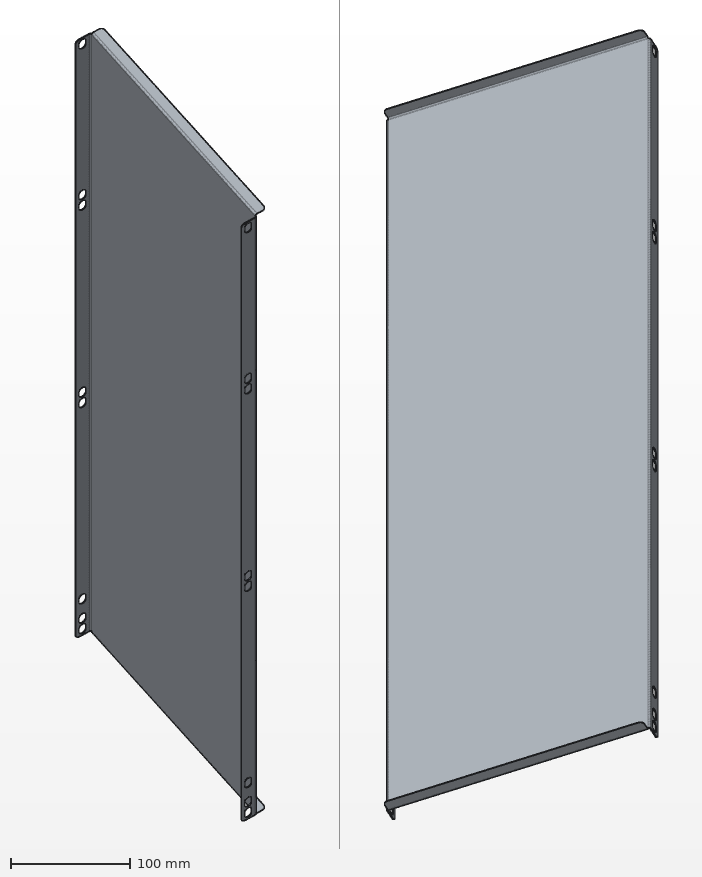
import cadquery as cq
import math

width = 244.0
depth = 26.8
height = 798.0

sheet = 1.0
bend_radius = 1.0
outer_radius = bend_radius + sheet

lip_reach = 10.5
flange_depth = depth - lip_reach
panel_back = depth / 2 - lip_reach
panel_front = panel_back - sheet
flange_edge = -depth / 2
flange_height = height - 2 * outer_radius
flange_corner_radius = 4.0
lip_setback = outer_radius
lip_corner_radius = 4.0
lip_width = width - 2 * lip_setback

slot_width = 7.0
slot_length = 12.0
slot_angle = 90.0
slot_y = flange_edge + 7.0
pair_pitch = 14.0
pair_heights = [181.5, -81.0, -381.5]
single_heights = [389.0, -349.0]


def make_channel():
    """Panel and both side flanges, bent from one sheet, with rounded free flange corners."""
    middle_y = (panel_back + flange_edge) / 2
    outer = (
        cq.Workplane("XY")
        .box(width, flange_depth, flange_height)
        .edges("|Z and >Y")
        .fillet(outer_radius)
        .edges("|X and <Y")
        .fillet(flange_corner_radius)
        .translate((0, middle_y, 0))
    )
    inner = (
        cq.Workplane("XY")
        .box(width - 2 * sheet, flange_depth, flange_height)
        .edges("|Z and >Y")
        .fillet(bend_radius)
        .translate((0, middle_y - sheet, 0))
    )
    return outer.cut(inner)


def make_lip(end):
    """Lip bent towards +Y at one end of the panel; end is 1 for the top and -1 for the bottom."""
    outer_z = end * height / 2
    inner_z = outer_z - end * sheet
    bend_y = panel_front + outer_radius
    bend_z = outer_z - end * outer_radius

    def bend_middle(radius):
        reach = radius * math.sqrt(0.5)
        return (bend_y - reach, bend_z + end * reach)

    profile = (
        cq.Workplane("YZ")
        .moveTo(panel_front, bend_z)
        .threePointArc(bend_middle(outer_radius), (bend_y, outer_z))
        .lineTo(depth / 2, outer_z)
        .lineTo(depth / 2, inner_z)
        .lineTo(bend_y, inner_z)
        .threePointArc(bend_middle(bend_radius), (panel_back, bend_z))
        .close()
    )
    lip = profile.extrude(lip_width / 2, both=True)
    return lip.edges("|Z and >Y").fillet(lip_corner_radius)


def cut_slots(body):
    """Cut the single slots and the slot pairs straight through both side flanges."""
    slot_heights = list(single_heights)
    for middle in pair_heights:
        slot_heights.append(middle + pair_pitch / 2)
        slot_heights.append(middle - pair_pitch / 2)
    slots = (
        cq.Workplane("YZ")
        .pushPoints([(slot_y, z) for z in slot_heights])
        .slot2D(slot_length, slot_width, slot_angle)
        .extrude(width, both=True)
    )
    return body.cut(slots)


panel = make_channel()
for end in (1, -1):
    panel = panel.union(make_lip(end))
result = cut_slots(panel)